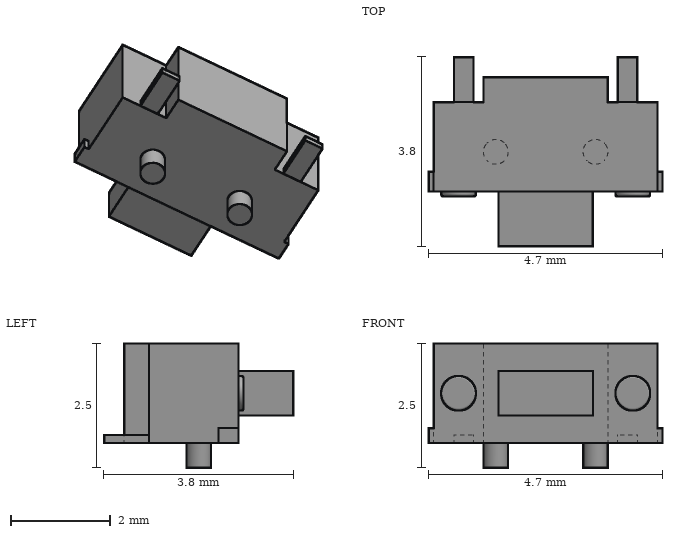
import cadquery as cq


overall_width = 4.7
side_tab_reach = 0.1
housing_width = overall_width - 2 * side_tab_reach
housing_depth = 1.8
housing_height = 2.0
step_width = 2.5
step_depth = 0.5

side_tab_depth = 0.4
side_tab_height = 0.3

stud_diameter = 0.7
stud_reach = 0.1
stud_spacing = 3.5
stud_fillet = 0.045
stud_z = housing_height / 2

peg_diameter = 0.5
peg_length = 0.5
peg_spacing = 2.0
peg_y = 0.8

button_width = 1.9
button_height = 0.9
button_reach = 1.1

terminal_width = 0.4
terminal_length = 0.902
terminal_thickness = 0.165
terminal_spacing = 3.29

SIDES = (-1, 1)


def box_from_front(width, depth, height, x=0, y=0, z=0):
    """Box centred on x, with its front face at y and its underside at z."""
    return cq.Workplane("XY").box(width, depth, height, centered=(True, False, False)).translate((x, y, z))


def make_stud(x):
    """Front stud with a rounded outer rim."""
    stud = cq.Workplane("XZ").center(x, stud_z).circle(stud_diameter / 2).extrude(stud_reach)
    return stud.faces("<Y").edges().fillet(stud_fillet)


def make_peg(x):
    """Locating peg hanging from the underside."""
    return cq.Workplane("XY").center(x, peg_y).circle(peg_diameter / 2).extrude(-peg_length)


def make_housing():
    """Stepped block with side tabs, front studs and locating pegs."""
    body = box_from_front(housing_width, housing_depth, housing_height)
    body = body.union(box_from_front(step_width, step_depth, housing_height, y=housing_depth))
    body = body.union(box_from_front(overall_width, side_tab_depth, side_tab_height))
    for side in SIDES:
        body = body.union(make_stud(side * stud_spacing / 2))
        body = body.union(make_peg(side * peg_spacing / 2))
    return body


def make_button():
    """Rectangular push button seated on the middle of the front face."""
    button_z = (housing_height - button_height) / 2
    return box_from_front(button_width, button_reach, button_height, y=-button_reach, z=button_z)


def make_terminal(side):
    """Flat terminal behind the housing, level with its underside."""
    x = side * terminal_spacing / 2
    return box_from_front(terminal_width, terminal_length, terminal_thickness, x=x, y=housing_depth)


housing = make_housing()
button = make_button()
terminals = [make_terminal(side) for side in SIDES]

result = cq.Compound.makeCompound(
    [housing.solids().val(), button.val(), *[terminal.val() for terminal in terminals]]
)